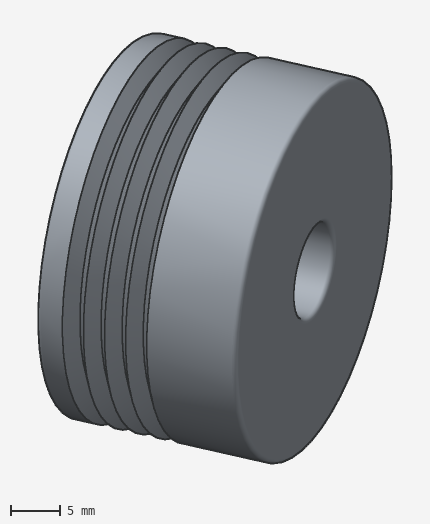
import cadquery as cq

length = 22.0
outer_radius = 20.0
bore_radius = 5.0
edge_radius = 0.5

groove_count = 4
groove_depth = 1.8
groove_width = 2.3
first_groove_offset = 2.85

left_face = -length / 2


def make_body():
    """Round body with a through bore and rounded end edges."""
    return (
        cq.Workplane("YZ", origin=(left_face, 0, 0))
        .circle(outer_radius)
        .circle(bore_radius)
        .extrude(length)
        .faces("<X or >X")
        .edges()
        .fillet(edge_radius)
    )


def make_groove(start):
    """Triangular ring removed by one V-groove whose left edge is at x = start."""
    return (
        cq.Workplane("XY")
        .moveTo(start, outer_radius)
        .lineTo(start + groove_width / 2, outer_radius - groove_depth)
        .lineTo(start + groove_width, outer_radius)
        .close()
        .revolve(360, (0, 0, 0), (1, 0, 0))
    )


result = make_body()
for index in range(groove_count):
    groove_start = left_face + first_groove_offset + index * groove_width
    result = result.cut(make_groove(groove_start))